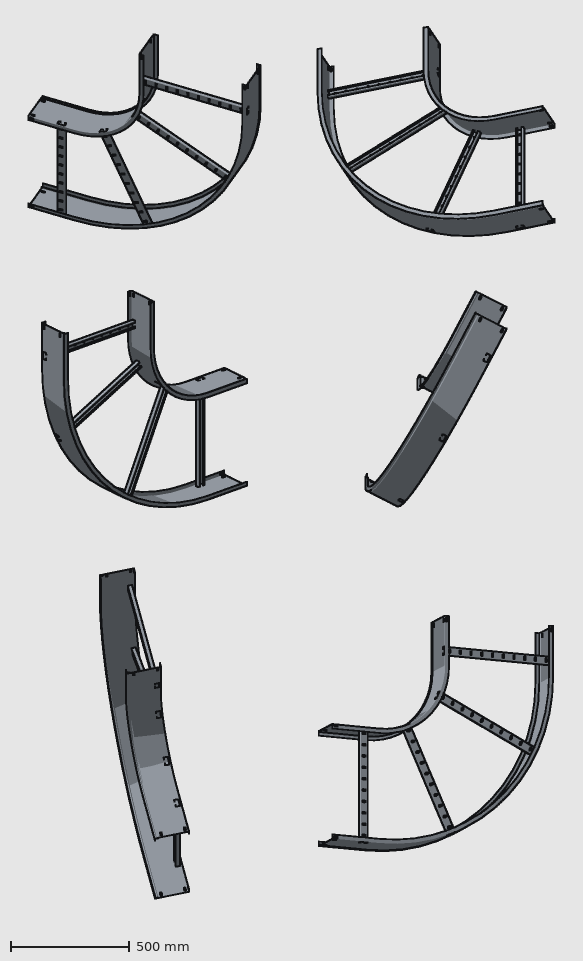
import cadquery as cq
import math

OVERALL = 1017.0
HEIGHT = 150.0
LEG_LENGTH = 217.0
OUTER_RADIUS = OVERALL - LEG_LENGTH
INNER_RADIUS = 300.0
BEND_ANGLE = 90.0

SHEET = 1.5
FOLD_RADIUS = 1.0

FLANGE_WIDTH = 20.0
GROOVE_WIDTH = 8.0
GROOVE_FLOOR = 3.0
GROOVE_DEPTH = 5.0
GROOVE_Y = HEIGHT - 10.0

SLOT_LENGTH = 16.0
SLOT_WIDTH = 7.0
SLOT_FROM_LEG_END = 16.0
FRONT_WEB_SLOT_Y = 15.0
REAR_WEB_SLOT_Y = HEIGHT - 31.0
FLANGE_SLOT_FROM_WEB = 8.0
SLOT_CUT_REACH = 4 * SHEET

RUNG_WIDTH = 36.0
RUNG_DEPTH = 19.0
RUNG_LIP = 9.0
RUNG_FRONT_Y = 8.0
RUNG_FROM_LEG_END = 150.0
RUNG_ANGLE = 25.0
RUNG_START = INNER_RADIUS + SHEET
RUNG_END = OUTER_RADIUS - SHEET
RUNG_SLOT_COUNT = 10
RUNG_SLOT_SPAN = 444.0
RUNG_SLOT_MIDDLE = 548.0


def offset_path(path, distance):
    """Offset an open polyline to its left, with mitred corners."""
    normals = []
    for (x0, y0), (x1, y1) in zip(path, path[1:]):
        length = math.hypot(x1 - x0, y1 - y0)
        normals.append(((y0 - y1) / length, (x1 - x0) / length))
    points = []
    for (x, y), (ax, ay), (bx, by) in zip(path, normals[:1] + normals, normals + normals[-1:]):
        reach = distance / (1 + ax * bx + ay * by)
        points.append((x + reach * (ax + bx), y + reach * (ay + by)))
    return points


def round_corner(face, point, radius):
    """Round the corner of a flat face that lies at point."""
    corner = min(face.Vertices(), key=lambda v: (v.Center() - cq.Vector(*point)).Length)
    return face.fillet2D(radius, [corner])


def folded_sheet(path):
    """XY section of a sheet on the left of path, with a rounded fold at every inner point."""
    other_side = offset_path(path, SHEET)
    outline = cq.Workplane("XY").polyline(path + other_side[::-1]).close()
    face = cq.Face.makeFromWires(outline.val())
    for i in range(1, len(path) - 1):
        (xa, ya), (xb, yb), (xc, yc) = path[i - 1:i + 2]
        turns_left = (xb - xa) * (yc - yb) > (yb - ya) * (xc - xb)
        inside, outside = (other_side[i], path[i]) if turns_left else (path[i], other_side[i])
        face = round_corner(face, inside, FOLD_RADIUS)
        face = round_corner(face, outside, FOLD_RADIUS + SHEET)
    return face


def slot_cutter(plane, origin, points):
    """Slots through a sheet, centred on it; they run along the vertical of the plane."""
    slots = cq.Workplane(plane, origin=origin).pushPoints(points)
    return slots.slot2D(SLOT_LENGTH, SLOT_WIDTH, 90).extrude(SLOT_CUT_REACH, both=True)


def rail_section():
    """Rail section with the back of the web on X = 0 and the flanges toward +X."""
    groove_edge = GROOVE_WIDTH / 2
    floor_edge = GROOVE_FLOOR / 2
    return folded_sheet([
        (FLANGE_WIDTH, HEIGHT),
        (0, HEIGHT),
        (0, GROOVE_Y + groove_edge),
        (GROOVE_DEPTH, GROOVE_Y + floor_edge),
        (GROOVE_DEPTH, GROOVE_Y - floor_edge),
        (0, GROOVE_Y - groove_edge),
        (0, 0),
        (FLANGE_WIDTH, 0),
    ])


def make_rail(radius, flange_side):
    """Rail with its web back at radius; flange_side is +1 for flanges outward, -1 for inward."""
    section = rail_section()
    if flange_side < 0:
        section = section.mirror("YZ")
    section = section.translate(cq.Vector(radius, 0, 0))
    bend = cq.Workplane(cq.Solid.revolve(section, BEND_ANGLE, cq.Vector(0, 0, 0), cq.Vector(0, 1, 0)))

    slot_z = LEG_LENGTH - SLOT_FROM_LEG_END
    leg = cq.Workplane(cq.Solid.extrudeLinear(section, cq.Vector(0, 0, LEG_LENGTH)))
    leg = leg.cut(slot_cutter("YZ", (radius, 0, 0), [(FRONT_WEB_SLOT_Y, slot_z), (REAR_WEB_SLOT_Y, slot_z)]))
    leg = leg.cut(slot_cutter("XZ", (0, 0, 0), [(radius + flange_side * FLANGE_SLOT_FROM_WEB, slot_z)]))

    other_leg = leg.mirror("XY").rotate((0, 0, 0), (0, 1, 0), BEND_ANGLE)
    return bend.union(leg).union(other_leg)


def make_rung():
    """Rung along +X, from the web of the inner rail to that of the outer rail."""
    side = RUNG_WIDTH / 2
    rear = RUNG_FRONT_Y + RUNG_DEPTH
    section = folded_sheet([
        (RUNG_LIP - side, rear),
        (-side, rear),
        (-side, RUNG_FRONT_Y),
        (side, RUNG_FRONT_Y),
        (side, rear),
        (side - RUNG_LIP, rear),
    ])
    rung = cq.Workplane(cq.Solid.extrudeLinear(section, cq.Vector(0, 0, RUNG_END - RUNG_START)))
    rung = rung.translate((0, 0, RUNG_START)).rotate((0, 0, 0), (0, 1, 0), 90)

    pitch = RUNG_SLOT_SPAN / (RUNG_SLOT_COUNT - 1)
    first = RUNG_SLOT_MIDDLE - RUNG_SLOT_SPAN / 2
    slot_points = [(first + i * pitch, 0) for i in range(RUNG_SLOT_COUNT)]
    return rung.cut(slot_cutter("XZ", (0, RUNG_FRONT_Y, 0), slot_points))


def turned(body, angle):
    """Body turned around the bend axis, from +X toward -Z."""
    return body.rotate((0, 0, 0), (0, 1, 0), angle)


inner_rail = make_rail(INNER_RADIUS, 1)
outer_rail = make_rail(OUTER_RADIUS, -1)

straight_rung = make_rung()
web_inside = cq.Workplane("XZ").circle(RUNG_END).extrude(-HEIGHT)
bend_rung = straight_rung.intersect(web_inside)

rung_into_leg = LEG_LENGTH - RUNG_FROM_LEG_END
rungs = [
    straight_rung.translate((0, 0, rung_into_leg)),
    turned(straight_rung, BEND_ANGLE).translate((-rung_into_leg, 0, 0)),
]
for angle in (RUNG_ANGLE, BEND_ANGLE - RUNG_ANGLE):
    rungs.append(turned(bend_rung, angle))

result = cq.Compound.makeCompound([inner_rail.val(), outer_rail.val(), *[rung.val() for rung in rungs]])